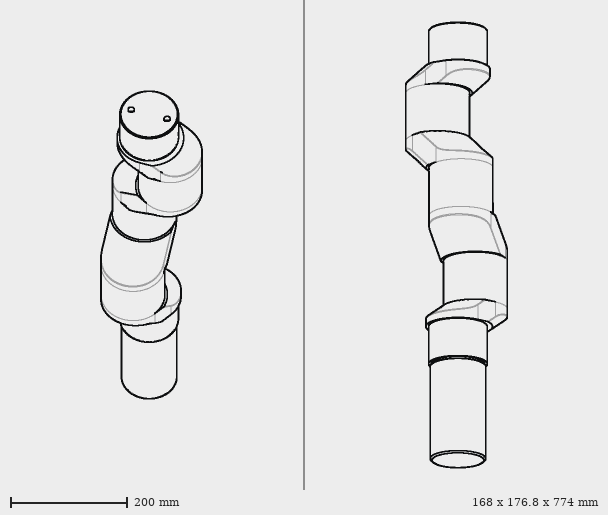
import cadquery as cq
import math

overall_height = 774.0
throw = 38.0
segment_turns = (240, 120, 0)
segment_diameter = 111.0
segment_radius = segment_diameter / 2
segment_height = 86.0
end_link_height = 39.0
mid_link_height = 64.0
skirt_height = 14.0
slope_radius = 59.5
slope_edge_fillet = 2.0

tube_radius = 48.0
tube_height = 169.5
tube_chamfer = 3.0
groove_radius = 46.5
groove_height = 4.0
collar_diameter = 101.5
collar_radius = collar_diameter / 2
collar_top = 241.0

cap_radius = collar_radius
cap_chamfer = 1.9
neck_radius = 49.0
neck_height = 2.0
hole_radius = 5.5
hole_offset = 32.5
hole_depth = 11.5


def cylinder(center, bottom, top, radius):
    """Upright cylinder about a center given as (x, y)."""
    return cq.Workplane("XY", origin=(*center, bottom)).circle(radius).extrude(top - bottom)


def obround(start, direction, length, radius, z):
    """Wire with two round ends, reaching from start by length along direction."""
    angle = math.degrees(math.atan2(direction.y, direction.x))
    middle = start + direction * (length / 2)
    outline = cq.Workplane("XY").slot2D(length + 2 * radius, 2 * radius, angle)
    return outline.translate((middle.x, middle.y, z)).val()


def link(lower, upper, bottom, height):
    """Slanted link: an upright obround block trimmed by a leaning obround block."""
    lower_axis = cq.Vector(*lower)
    upper_axis = cq.Vector(*upper)
    span = (upper_axis - lower_axis).Length
    toward_upper = (upper_axis - lower_axis).normalized()

    block_outline = obround(lower_axis, toward_upper, span, segment_radius, bottom)
    block = cq.Solid.extrudeLinear(block_outline, [], cq.Vector(0, 0, height))

    slope_run = span - (slope_radius - segment_radius)
    lean = slope_run / (height - skirt_height) * height
    leaning_start = upper_axis - toward_upper * lean
    leaning_outline = obround(leaning_start, toward_upper, lean - span, slope_radius, bottom)
    leaning_block = cq.Solid.extrudeLinear(
        leaning_outline, [], toward_upper * lean + cq.Vector(0, 0, height)
    )
    trimmed = cq.Workplane(block.intersect(leaning_block))

    return trimmed.edges("not (|Z or >Z or <Z)").fillet(slope_edge_fillet)


main_axis = (0, 0)
base_tube = cylinder(main_axis, 0, tube_height, tube_radius).faces("<Z").chamfer(tube_chamfer)
collar_bottom = tube_height + groove_height
body = base_tube.union(cylinder(main_axis, tube_height, collar_bottom, groove_radius))
body = body.union(cylinder(main_axis, collar_bottom, collar_top, collar_radius))

z = collar_top
axis_below = main_axis
link_height = end_link_height
for turn in segment_turns:
    axis = (throw * math.cos(math.radians(turn)), throw * math.sin(math.radians(turn)))
    body = body.union(link(axis_below, axis, z, link_height))
    z += link_height
    body = body.union(cylinder(axis, z, z + segment_height, segment_radius))
    z += segment_height
    axis_below = axis
    link_height = mid_link_height

body = body.union(link(axis_below, main_axis, z, end_link_height))
last_link_top = z + end_link_height
neck_top = last_link_top + neck_height

cap = cylinder(main_axis, neck_top, overall_height, cap_radius).faces(">Z").chamfer(cap_chamfer)
cap = cap.union(cylinder(main_axis, last_link_top, neck_top, neck_radius))
for x in (-hole_offset, hole_offset):
    cap = cap.cut(cylinder((x, 0), overall_height - hole_depth, overall_height, hole_radius))

result = body.union(cap)